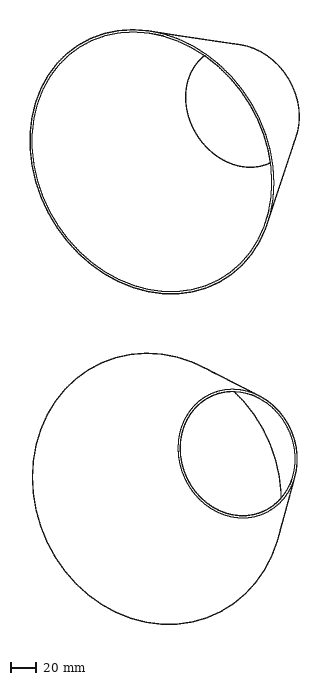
import cadquery as cq

wide_diameter = 219.0
narrow_diameter = 104.0
length = 152.0
wall = 2.0

wide_radius = wide_diameter / 2
narrow_radius = narrow_diameter / 2

wall_section = (
    cq.Workplane("XY")
    .moveTo(wide_radius, 0)
    .lineTo(narrow_radius, length)
    .lineTo(narrow_radius - wall, length)
    .lineTo(wide_radius - wall, 0)
    .close()
)

result = wall_section.revolve(360, (0, 0, 0), (0, 1, 0))